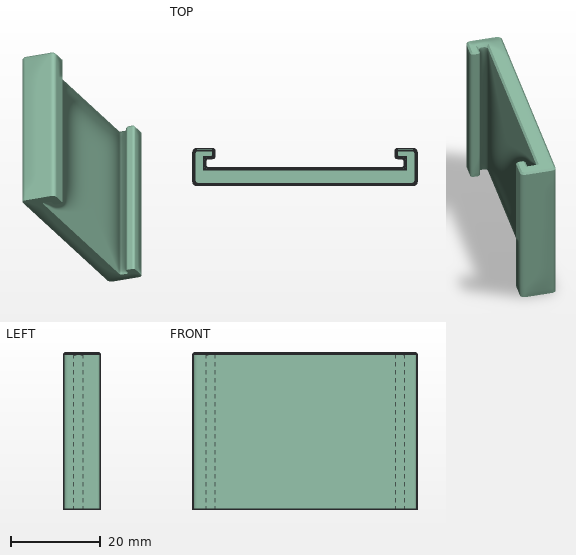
import cadquery as cq

width = 50.0
depth = 8.2
height = 35.0

plate_thickness = 3.9
side_wall = 2.8
lip_thickness = 2.2
lip_reach = 4.85

outer_radius = 1.0
lip_tip_radius = 0.6
slot_radius = 0.6
top_chamfer = 0.42

half_width = width / 2
slot_half_width = half_width - side_wall
mouth_half_width = half_width - lip_reach
lip_inner_y = depth - lip_thickness


def vertical_edges_at(body, points):
    """Select the vertical edges passing through the given plan points."""
    edges = body.edges("|Z")
    matches = [
        edge
        for edge in edges.vals()
        if any((edge.Center() - cq.Vector(x, y, edge.Center().z)).Length < 0.005 for x, y in points)
    ]
    return body.newObject(matches)


outer_corners = [(side * half_width, y) for side in (-1, 1) for y in (0, depth)]
lip_tips = [(side * mouth_half_width, y) for side in (-1, 1) for y in (lip_inner_y, depth)]
slot_corners = [
    (side * slot_half_width, y) for side in (-1, 1) for y in (plate_thickness, lip_inner_y)
]

body = (
    cq.Workplane("XY")
    .polyline([
        (-half_width, 0),
        (half_width, 0),
        (half_width, depth),
        (mouth_half_width, depth),
        (mouth_half_width, lip_inner_y),
        (slot_half_width, lip_inner_y),
        (slot_half_width, plate_thickness),
        (-slot_half_width, plate_thickness),
        (-slot_half_width, lip_inner_y),
        (-mouth_half_width, lip_inner_y),
        (-mouth_half_width, depth),
        (-half_width, depth),
    ])
    .close()
    .extrude(height)
)

body = vertical_edges_at(body, outer_corners).fillet(outer_radius)
body = vertical_edges_at(body, lip_tips).fillet(lip_tip_radius)
body = body.faces(">Z").edges().chamfer(top_chamfer)

result = vertical_edges_at(body, slot_corners).fillet(slot_radius)